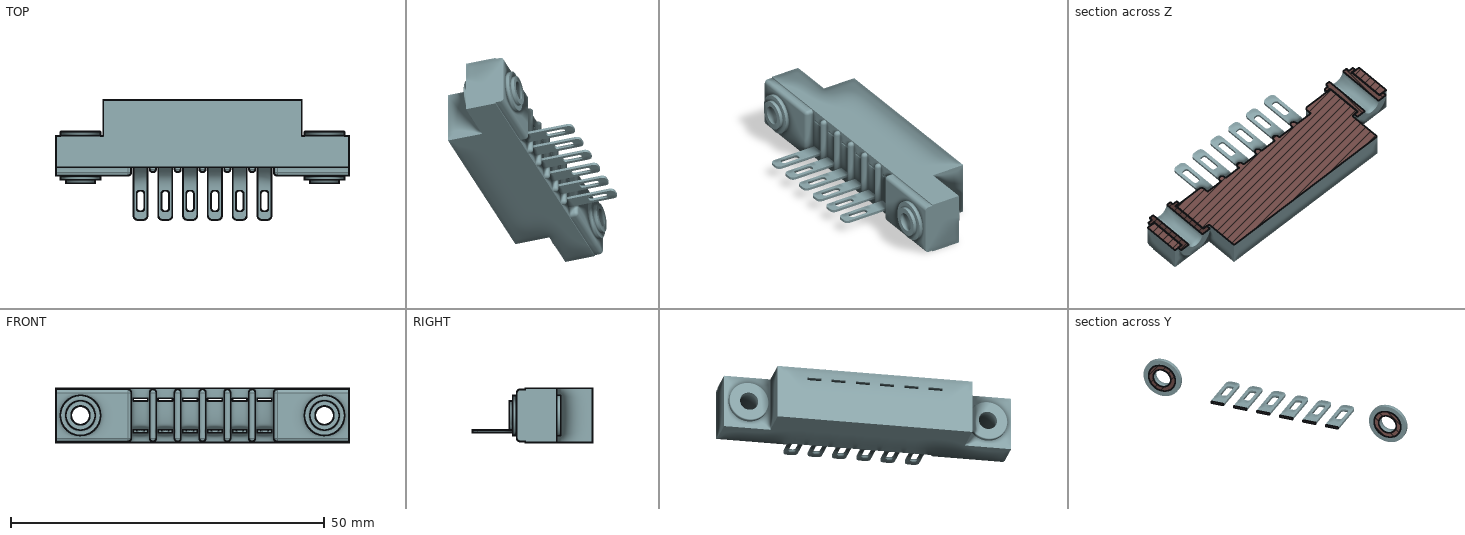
import cadquery as cq


HOUSING_LENGTH = 46.8
HOUSING_HEIGHT = 8.7
FLANGE_DEPTH = 5.0
BLOCK_LENGTH = 31.72
BLOCK_DEPTH = 10.75

RELIEF_STEP = 0.2
RELIEF_HEIGHT = HOUSING_HEIGHT - 2 * RELIEF_STEP
PAD_LENGTH = 12.03
PAD_DEPTH = 1.35
PAD_RADIUS = 0.55
RIB_WIDTH = 1.05
RIB_DEPTH = 0.8

CONTACT_COUNT = 6
CONTACT_SPAN = 19.8
CONTACT_PITCH = CONTACT_SPAN / (CONTACT_COUNT - 1)
CONTACT_WIDTH = 2.3
CONTACT_THICKNESS = 0.4
CONTACT_ROW_Z = 2.55
TAIL_LENGTH = 8.4
TAIL_RADIUS = 0.75
EYE_WIDTH = 1.15
EYE_LENGTH = 3.25
EYE_CENTER_Y = -5.4
EYE_RADIUS = 0.4

EYELET_X = 19.45
EYELET_BORE = 2.95
BARREL_DIAMETER = 4.7
FLANGE_DIAMETER = 6.4
REAR_FLANGE_THICKNESS = 0.7
FRONT_FLANGE_THICKNESS = 0.6
FRONT_CLEARANCE = 0.05
REAR_FLANGE_RADIUS = 0.15
BARREL_PROTRUSION = 0.55

CONTACT_XS = [(i - (CONTACT_COUNT - 1) / 2) * CONTACT_PITCH for i in range(CONTACT_COUNT)]
RIB_XS = [x + CONTACT_PITCH / 2 for x in CONTACT_XS[:-1]]
EYELET_XS = [-EYELET_X, EYELET_X]


def block(x_size, z_size, y_front, y_back):
    """Box centred on X and Z that spans y_front to y_back."""
    center_y = (y_front + y_back) / 2
    return cq.Workplane("XY", origin=(0, center_y, 0)).box(x_size, y_back - y_front, z_size)


def disc(diameter, y_front, y_back):
    """Cylinder along Y that spans y_front to y_back."""
    return cq.Workplane("XZ", origin=(0, y_back, 0)).circle(diameter / 2).extrude(y_back - y_front)


def make_left_pad():
    """Raised pad at the -X end, rounded on every free edge except along the housing end."""
    pad = block(PAD_LENGTH, RELIEF_HEIGHT, -PAD_DEPTH, 0)
    pad = pad.edges("(<Y and (>X or |X)) or (>X and |Y)").fillet(PAD_RADIUS)
    return pad.translate(((PAD_LENGTH - HOUSING_LENGTH) / 2, 0, 0))


def make_rib():
    """Upright rib with a fully round nose and ends."""
    radius = RIB_WIDTH / 2
    nose_y = radius - RIB_DEPTH
    straight_height = RELIEF_HEIGHT - RIB_WIDTH

    root = cq.Workplane("XZ").slot2D(RELIEF_HEIGHT, RIB_WIDTH, 90).extrude(-nose_y)
    nose = cq.Workplane("XY").circle(radius).extrude(straight_height / 2, both=True)
    nose = nose.translate((0, nose_y, 0))
    rib = root.union(nose)
    for z in (-straight_height / 2, straight_height / 2):
        rib = rib.union(cq.Workplane("XY", origin=(0, nose_y, z)).sphere(radius))
    return rib


def make_housing():
    body = block(HOUSING_LENGTH, HOUSING_HEIGHT, 0, FLANGE_DEPTH)
    body = body.union(block(BLOCK_LENGTH, HOUSING_HEIGHT, 0, BLOCK_DEPTH))

    left_pad = make_left_pad()
    body = body.union(left_pad).union(left_pad.mirror("YZ"))

    rib = make_rib()
    for x in RIB_XS:
        body = body.union(rib.translate((x, 0, 0)))

    slot = block(CONTACT_WIDTH, CONTACT_THICKNESS, 0, BLOCK_DEPTH)
    for x in CONTACT_XS:
        for z in (-CONTACT_ROW_Z, CONTACT_ROW_Z):
            body = body.cut(slot.translate((x, 0, z)))

    barrel_hole = disc(BARREL_DIAMETER, -PAD_DEPTH, FLANGE_DEPTH)
    for x in EYELET_XS:
        body = body.cut(barrel_hole.translate((x, 0, 0)))
    return body


def make_contact(x):
    """Flat contact with a rounded tail and a solder eye."""
    contact = block(CONTACT_WIDTH, CONTACT_THICKNESS, -TAIL_LENGTH, BLOCK_DEPTH)
    contact = contact.edges("<Y and |Z").fillet(TAIL_RADIUS)

    eye_front = EYE_CENTER_Y - EYE_LENGTH / 2
    eye = block(EYE_WIDTH, CONTACT_THICKNESS, eye_front, eye_front + EYE_LENGTH)
    contact = contact.cut(eye.edges("|Z").fillet(EYE_RADIUS))
    return contact.translate((x, 0, -CONTACT_ROW_Z))


def make_eyelet(x):
    """Tubular eyelet with a flange on each side of the housing, the front one just clear of the pad."""
    flange_seat = -PAD_DEPTH - FRONT_CLEARANCE
    flange_front = flange_seat - FRONT_FLANGE_THICKNESS
    flange_back = FLANGE_DEPTH + REAR_FLANGE_THICKNESS
    barrel_front = flange_front - BARREL_PROTRUSION

    rear_flange = disc(FLANGE_DIAMETER, FLANGE_DEPTH, flange_back)
    rear_flange = rear_flange.edges(">Y").fillet(REAR_FLANGE_RADIUS)
    eyelet = disc(BARREL_DIAMETER, barrel_front, FLANGE_DEPTH)
    eyelet = eyelet.union(disc(FLANGE_DIAMETER, flange_front, flange_seat)).union(rear_flange)
    eyelet = eyelet.cut(disc(EYELET_BORE, barrel_front, flange_back))
    return eyelet.translate((x, 0, 0))


housing = make_housing()
contacts = [make_contact(x) for x in CONTACT_XS]
eyelets = [make_eyelet(x) for x in EYELET_XS]

result = cq.Compound.makeCompound(
    [
        housing.val(),
        *[contact.val() for contact in contacts],
        *[eyelet.val() for eyelet in eyelets],
    ]
)